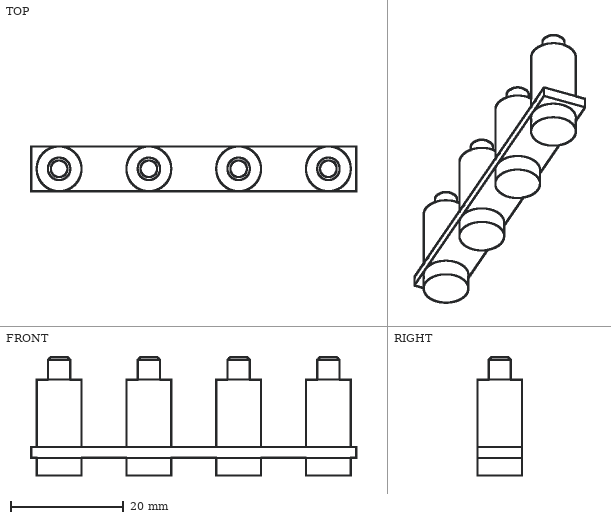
import cadquery as cq

bar_length = 58.0
bar_width = 8.0
bar_thickness = 2.0

post_count = 4
post_pitch = 16.0
post_diameter = bar_width
post_height_above_bar = 12.0
post_depth_below_bar = 3.15
pin_diameter = post_diameter / 2
pin_height = 4.0
pin_chamfer = 0.5

bar_bottom = post_depth_below_bar
post_top = bar_bottom + bar_thickness + post_height_above_bar


def make_bar():
    return (
        cq.Workplane("XY", origin=(0, 0, bar_bottom))
        .box(bar_length, bar_width, bar_thickness, centered=(True, True, False))
    )


def make_post(x):
    """Round post with a coaxial pin whose tip is chamfered."""
    post = cq.Workplane("XY", origin=(x, 0, 0)).circle(post_diameter / 2).extrude(post_top)
    pin = (
        cq.Workplane("XY", origin=(x, 0, post_top))
        .circle(pin_diameter / 2)
        .extrude(pin_height)
        .faces(">Z")
        .chamfer(pin_chamfer)
    )
    return post.union(pin)


result = make_bar()
first_post_x = -post_pitch * (post_count - 1) / 2
for index in range(post_count):
    result = result.union(make_post(first_post_x + index * post_pitch))